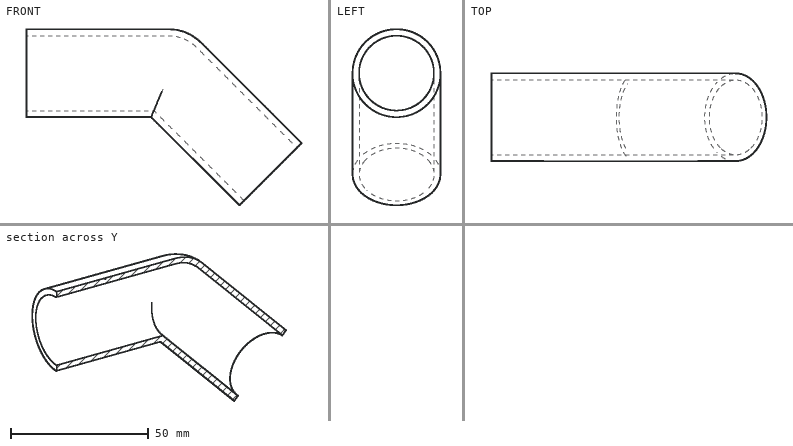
import cadquery as cq
import math

overall_length = 100.1
outer_diameter = 32.0
inner_diameter = 27.2
bend_angle = 45.0

outer_radius = outer_diameter / 2
inner_radius = inner_diameter / 2
bend = math.radians(bend_angle)

leg_length = (overall_length - outer_radius * math.sin(bend)) / (1 + math.cos(bend))

joint_centre = cq.Vector(0, 0, 0)
straight_direction = cq.Vector(-1, 0, 0)
sloping_direction = cq.Vector(math.cos(bend), 0, -math.sin(bend))


def elbow_body(radius):
    """Two solid round legs joined by a ball of the same radius."""
    body = cq.Workplane("XY").sphere(radius)
    for direction in (straight_direction, sloping_direction):
        leg = cq.Solid.makeCylinder(radius, leg_length, joint_centre, direction)
        body = body.union(cq.Workplane(obj=leg))
    return body


result = elbow_body(outer_radius).cut(elbow_body(inner_radius))